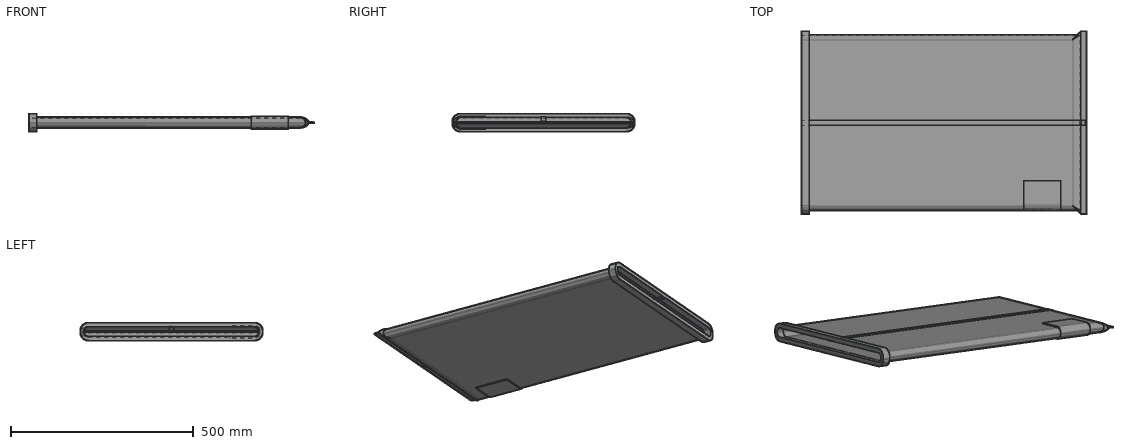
import cadquery as cq

length = 780.0
flange_width = 500.0
flange_height = 50.0

collar_length = 22.0

body_width = 481.0
body_height = 30.0
wall = 1.95
cavity_tip = 1.0
side_flat = 2.0

taper_start = 742.0
fin_start = 764.5
fin_thickness = 2.0
fin_step = 1.5

strip_width = 13.0
strip_end = 776.0
strip_raise = 1.0

label_start = 608.5
label_length = 101.0
label_inner_y = -159.0
label_raise = 2.7
label_edge_raise = 1.0


def rounded_bar(start, bar_length, width, height):
    """Bar along X with nearly full-round long edges."""
    edge_radius = (height - side_flat) / 2
    return (
        cq.Workplane("YZ", origin=(start, 0, 0))
        .rect(width, height)
        .extrude(bar_length)
        .edges("|X")
        .fillet(edge_radius)
    )


def closing_profile(width, height, thickness, end, fin_offset=0.0):
    """Side profile that curves in to a small step and a flat fin, extruded across Y."""
    half_height = height / 2
    half_fin = thickness / 2
    fin_x = fin_start + fin_offset
    curve_end_z = half_fin + fin_step
    drop = half_height - curve_end_z
    run = fin_x - taper_start
    radius = (run**2 + drop**2) / (2 * drop)
    mid_x = run / 2
    mid_z = half_height - radius + (radius**2 - mid_x**2) ** 0.5
    return (
        cq.Workplane("XZ")
        .moveTo(0, half_height)
        .lineTo(taper_start, half_height)
        .threePointArc((taper_start + mid_x, mid_z), (fin_x, curve_end_z))
        .lineTo(fin_x, half_fin)
        .lineTo(end, half_fin)
        .lineTo(end, -half_fin)
        .lineTo(fin_x, -half_fin)
        .lineTo(fin_x, -curve_end_z)
        .threePointArc((taper_start + mid_x, -mid_z), (taper_start, -half_height))
        .lineTo(0, -half_height)
        .close()
        .extrude(width / 2, both=True)
    )


def flared_end():
    """Plan shape of the sealed end, mitred outward at 45 degrees to the fin width."""
    inner_y = body_width / 2 - (body_height - side_flat) / 2
    outer_y = flange_width / 2
    flare_end = taper_start + outer_y - inner_y
    return (
        cq.Workplane("XY", origin=(0, 0, -body_height))
        .polyline([
            (taper_start, -inner_y),
            (flare_end, -outer_y),
            (length, -outer_y),
            (length, outer_y),
            (flare_end, outer_y),
            (taper_start, inner_y),
        ])
        .close()
        .extrude(2 * body_height)
    )


outer_profile = closing_profile(flange_width, body_height, fin_thickness, length)
sleeve = rounded_bar(0, fin_start, body_width, body_height).intersect(outer_profile)
sealed_end = flared_end().intersect(outer_profile)

collar = rounded_bar(0, collar_length, flange_width, flange_height)

label_depth = body_width / 2 + label_edge_raise + label_inner_y
label_keep = (
    cq.Workplane("XY", origin=(label_start, label_inner_y - label_depth, 0))
    .box(label_length, label_depth, flange_height, centered=(False, False, True))
)
label = rounded_bar(
    label_start, label_length, body_width + 2 * label_edge_raise, body_height + 2 * label_raise
).intersect(label_keep)

cavity_height = body_height - 2 * wall
cavity_end = fin_start - 2 * wall
cavity_profile = closing_profile(body_width, cavity_height, cavity_tip, length, -2 * wall)
cavity = rounded_bar(0, cavity_end, body_width - 2 * wall, cavity_height).intersect(cavity_profile)

strip_outer = closing_profile(
    strip_width,
    body_height + 2 * strip_raise,
    fin_thickness + 2 * strip_raise,
    strip_end,
    strip_raise,
)
strip_inner = closing_profile(
    strip_width, cavity_height - 2 * strip_raise, cavity_tip, length, -2 * wall - strip_raise
).intersect(cavity)
upper_half = cq.Workplane("XY").box(
    length, strip_width, flange_height, centered=(False, True, False)
)
strip = strip_outer.cut(strip_inner).intersect(upper_half)

result = sleeve.union(sealed_end).union(collar).union(label).cut(cavity).union(strip)